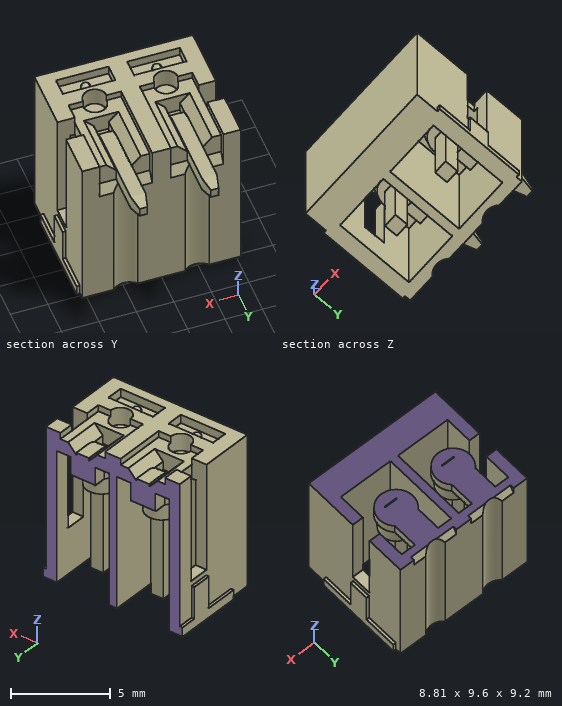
import cadquery as cq

BODY_WIDTH = 8.47
BODY_DEPTH = 7.01
BODY_HEIGHT = 9.2

PITCH = 3.8
CONTACT_XS = (-PITCH / 2, PITCH / 2)
CONTACT_Y = 4.01

PIN_SIZE = 0.8
PIN_INNER_BEND = 0.2
PIN_TOP_Z = BODY_HEIGHT - 0.79
PIN_END_Y = 9.6
TIP_LENGTH = 0.8
TIP_WIDTH = 0.41
TIP_HEIGHT = 0.5
PIN_FOOT_Z = 0.8

POCKET_WIDTH = 2.8
POCKET_FRONT_Y = 2.46
POCKET_DEPTH = 0.37
POCKET_FLOOR_Z = BODY_HEIGHT - POCKET_DEPTH
KEY_HOLE_RADIUS = 0.62
KEY_HOLE_FLOOR_Z = 8.16

TROUGH_TOP_WIDTH = 1.84
TROUGH_FRONT_Y = 3.4
TROUGH_DEPTH = 0.56
TROUGH_FLOOR_Z = POCKET_FLOOR_Z - TROUGH_DEPTH

STEP_DEPTH = 0.34
SLOPE = 1.7
STEP_Y = BODY_DEPTH - STEP_DEPTH
LEDGE_TOP_Z = PIN_TOP_Z - PIN_SIZE
GROOVE_RADIUS = 0.87
GROOVE_OFFSET = 0.6

WINDOW_DEPTH_Y = 1.0
WINDOW_Y = 1.12
WINDOW_DEPTH = 0.51
DOME_RADIUS = 0.25

SIDE_WALL = 0.69
DIVIDER = 0.52
CAVITY_WIDTH = (BODY_WIDTH - DIVIDER) / 2 - SIDE_WALL
CAVITY_X = (DIVIDER + CAVITY_WIDTH) / 2
CAVITY_LENGTH = 2 * (BODY_DEPTH - SIDE_WALL - CONTACT_Y)
CAVITY_TOP_Z = 7.98

UPPER_COLLAR_RADIUS = 1.12
UPPER_COLLAR_HEIGHT = 1.08
LOWER_COLLAR_RADIUS = 0.96
LOWER_COLLAR_HEIGHT = 1.04
WEB_WIDTH = 1.57

SLOT_WIDTH = 1.27
SLOT_FLOOR_Z = 2.82
SLOT_INNER_X = (PITCH + POCKET_WIDTH) / 2

RIB_THICKNESS = 0.17
RIB_BAR_LENGTH = 5.3
RIB_BAR_HEIGHT = 0.59
RIB_STEM_WIDTH = 1.21
RIB_STEM_HEIGHT = 2.51


def box(x_range, y_range, z_range):
    """Box between the given limits on each axis."""
    (x0, x1), (y0, y1), (z0, z1) = x_range, y_range, z_range
    return cq.Workplane("XY").box(x1 - x0, y1 - y0, z1 - z0, centered=False).translate((x0, y0, z0))


def span(centre, width):
    """Limits of a length placed evenly about a centre."""
    return centre - width / 2, centre + width / 2


def cylinder(x, y, radius, z0, z1):
    """Upright cylinder between two heights."""
    return cq.Workplane("XY", origin=(x, y, z0)).circle(radius).extrude(z1 - z0)


def extrude_across(profile, x, width):
    """Extrude a closed (Y, Z) profile along X, evenly about x."""
    return cq.Workplane("YZ", origin=(x, 0, 0)).polyline(profile).close().extrude(width / 2, both=True)


def pocket(x):
    """Top recess, with a round hole on its front edge."""
    recess = box(span(x, POCKET_WIDTH), (POCKET_FRONT_Y, BODY_DEPTH), (POCKET_FLOOR_Z, BODY_HEIGHT))
    return recess.union(cylinder(x, POCKET_FRONT_Y, KEY_HOLE_RADIUS, KEY_HOLE_FLOOR_Z, BODY_HEIGHT))


def trough(x):
    """Tapered channel along Y, open at the back."""
    half_top = TROUGH_TOP_WIDTH / 2
    half_floor = PIN_SIZE / 2
    profile = [
        (x - half_top, POCKET_FLOOR_Z),
        (x + half_top, POCKET_FLOOR_Z),
        (x + half_floor, TROUGH_FLOOR_Z),
        (x - half_floor, TROUGH_FLOOR_Z),
    ]
    length = BODY_DEPTH - TROUGH_FRONT_Y
    channel = cq.Workplane("XZ", origin=(0, BODY_DEPTH, 0)).polyline(profile).close().extrude(length)
    return channel


def bend_relief(x):
    """Gap in front of the pin bend, with a sloped bottom that meets the upright leg."""
    leg_front_y = CONTACT_Y - PIN_SIZE / 2
    leg_back_y = CONTACT_Y + PIN_SIZE / 2
    bend_start_z = PIN_TOP_Z - PIN_SIZE - PIN_INNER_BEND
    bevel_rise = SLOPE * (leg_front_y - TROUGH_FRONT_Y)
    profile = [
        (TROUGH_FRONT_Y, TROUGH_FLOOR_Z),
        (TROUGH_FRONT_Y, bend_start_z + bevel_rise),
        (leg_front_y, bend_start_z),
        (leg_back_y, bend_start_z),
        (leg_back_y, TROUGH_FLOOR_Z),
    ]
    return extrude_across(profile, x, PIN_SIZE)


def back_step(x):
    """Step in the back face above a sloped ledge, and a round groove down the ledge."""
    profile = [
        (STEP_Y, BODY_HEIGHT),
        (STEP_Y, LEDGE_TOP_Z),
        (BODY_DEPTH, LEDGE_TOP_Z - SLOPE * STEP_DEPTH),
        (BODY_DEPTH, BODY_HEIGHT),
    ]
    groove = cylinder(x, BODY_DEPTH + GROOVE_OFFSET, GROOVE_RADIUS, 0, LEDGE_TOP_Z)
    return extrude_across(profile, x, POCKET_WIDTH).union(groove)


def window(x):
    """Shallow rectangular recess with a dome left standing on its floor."""
    floor_z = BODY_HEIGHT - WINDOW_DEPTH
    recess = box(span(x, POCKET_WIDTH), span(WINDOW_Y, WINDOW_DEPTH_Y), (floor_z, BODY_HEIGHT))
    dome = cq.Workplane("XY").sphere(DOME_RADIUS).translate((x, WINDOW_Y, floor_z))
    return recess.cut(dome)


def pin(x):
    """Bent square pin with a tapered tail end."""
    outer_bend = PIN_INNER_BEND + PIN_SIZE
    front_y = CONTACT_Y - PIN_SIZE / 2
    taper_y = PIN_END_Y - TIP_LENGTH
    elbow = [
        (front_y, PIN_FOOT_Z),
        (front_y, PIN_TOP_Z),
        (taper_y, PIN_TOP_Z),
        (taper_y, PIN_TOP_Z - PIN_SIZE),
        (front_y + PIN_SIZE, PIN_TOP_Z - PIN_SIZE),
        (front_y + PIN_SIZE, PIN_FOOT_Z),
    ]
    body = extrude_across(elbow, x, PIN_SIZE)
    body = body.edges(cq.NearestToPointSelector((x, front_y, PIN_TOP_Z))).fillet(outer_bend)
    inner_corner = (x, front_y + PIN_SIZE, PIN_TOP_Z - PIN_SIZE)
    body = body.edges(cq.NearestToPointSelector(inner_corner)).fillet(PIN_INNER_BEND)
    tip = (
        cq.Workplane("XZ", origin=(x, taper_y, PIN_TOP_Z - PIN_SIZE / 2))
        .rect(PIN_SIZE, PIN_SIZE)
        .workplane(offset=-TIP_LENGTH)
        .rect(TIP_WIDTH, TIP_HEIGHT)
        .loft(combine=True)
    )
    return body.union(tip)


def collars(x):
    """Two stepped round collars hanging from the cavity roof, with the web behind them."""
    step_z = CAVITY_TOP_Z - UPPER_COLLAR_HEIGHT
    upper = cylinder(x, CONTACT_Y, UPPER_COLLAR_RADIUS, step_z, CAVITY_TOP_Z)
    lower = cylinder(x, CONTACT_Y, LOWER_COLLAR_RADIUS, step_z - LOWER_COLLAR_HEIGHT, step_z)
    cavity_back_y = CONTACT_Y + CAVITY_LENGTH / 2
    web = box(span(x, WEB_WIDTH), (CONTACT_Y, cavity_back_y), (step_z, CAVITY_TOP_Z))
    return upper.union(lower).union(web)


def side_slot(side):
    """Slot through one side wall; side is -1 or 1."""
    x_range = sorted((side * SLOT_INNER_X, side * BODY_WIDTH / 2))
    return box(x_range, span(CONTACT_Y, SLOT_WIDTH), (SLOT_FLOOR_Z, BODY_HEIGHT))


def side_rib(side):
    """T-shaped rib on one side wall; side is -1 or 1."""
    x_range = sorted((side * BODY_WIDTH / 2, side * (BODY_WIDTH / 2 + RIB_THICKNESS)))
    bar = box(x_range, span(CONTACT_Y, RIB_BAR_LENGTH), (0, RIB_BAR_HEIGHT))
    stem = box(x_range, span(CONTACT_Y, RIB_STEM_WIDTH), (0, RIB_STEM_HEIGHT))
    return bar.union(stem)


result = box(span(0, BODY_WIDTH), (0, BODY_DEPTH), (0, BODY_HEIGHT))

for side in (-1, 1):
    cavity_x = span(side * CAVITY_X, CAVITY_WIDTH)
    result = result.cut(box(cavity_x, span(CONTACT_Y, CAVITY_LENGTH), (0, CAVITY_TOP_Z)))
    result = result.cut(side_slot(side)).union(side_rib(side))

for x in CONTACT_XS:
    result = result.cut(pocket(x)).cut(trough(x)).cut(back_step(x)).cut(window(x))
    result = result.union(collars(x)).cut(bend_relief(x)).union(pin(x))